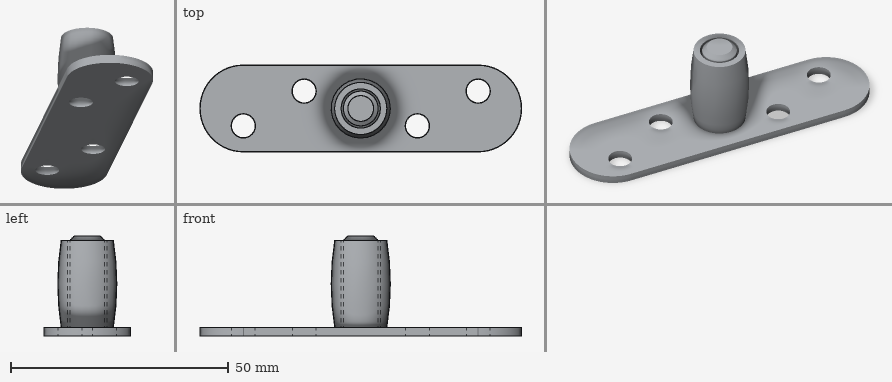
import cadquery as cq

plate_length = 74.0
plate_width = 20.0
plate_thickness = 2.0

screw_hole_diameter = 5.5
inner_hole_x = 13.0
outer_hole_x = 27.0
hole_offset_y = 4.0

sleeve_height = 20.0
sleeve_end_diameter = 12.0
sleeve_middle_diameter = 13.6
sleeve_bore_diameter = 9.0

pin_diameter = 8.0
pin_chamfer = 1.0
pin_protrusion = 1.0
pin_height = sleeve_height + pin_protrusion


def make_plate():
    """Strip with full-round ends and four through holes."""
    hole_positions = [
        (-outer_hole_x, -hole_offset_y),
        (-inner_hole_x, hole_offset_y),
        (inner_hole_x, -hole_offset_y),
        (outer_hole_x, hole_offset_y),
    ]
    holes = (
        cq.Workplane("XY")
        .pushPoints(hole_positions)
        .circle(screw_hole_diameter / 2)
        .extrude(plate_thickness)
    )
    strip = cq.Workplane("XY").slot2D(plate_length, plate_width).extrude(plate_thickness)
    return strip.cut(holes)


def make_sleeve():
    """Tube with a straight bore and an outer wall that bulges at mid-height."""
    bore_radius = sleeve_bore_diameter / 2
    end_radius = sleeve_end_diameter / 2
    middle_radius = sleeve_middle_diameter / 2
    bottom = plate_thickness
    top = bottom + sleeve_height
    return (
        cq.Workplane("XZ")
        .moveTo(bore_radius, bottom)
        .lineTo(end_radius, bottom)
        .threePointArc((middle_radius, (bottom + top) / 2), (end_radius, top))
        .lineTo(bore_radius, top)
        .close()
        .revolve(360, (0, 0, 0), (0, 1, 0))
    )


def make_pin():
    """Round pin standing on the plate, chamfered at its top."""
    return (
        cq.Workplane("XY", origin=(0, 0, plate_thickness))
        .circle(pin_diameter / 2)
        .extrude(pin_height)
        .faces(">Z")
        .chamfer(pin_chamfer)
    )


plate = make_plate()
sleeve = make_sleeve()
pin = make_pin()

result = cq.Compound.makeCompound([plate.val(), sleeve.val(), pin.val()])